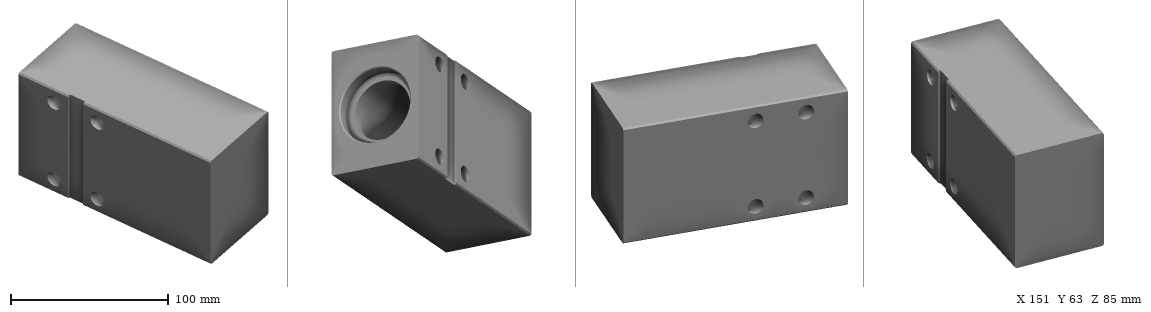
import cadquery as cq

length = 151.0
depth = 63.0
height = 85.0
edge_chamfer = 1.0

bore_diameter = 40.0
end_wall = 19.6
counterbore_diameter = 50.5
counterbore_depth = 10.1
mouth_diameter = 52.0
mouth_chamfer = (mouth_diameter - counterbore_diameter) / 2

keyway_center = 45.0
keyway_width = 12.0
keyway_depth = 2.0

hole_diameter = 10.5
hole_spacing_x = 34.0
hole_spacing_z = 63.0


def make_block():
    block = cq.Workplane("XY").box(length, depth, height, centered=(False, True, True))
    return block.edges("|X").chamfer(edge_chamfer)


def make_bore():
    """Revolve the stepped bore profile, drawn as (X, radius), about the X axis."""
    bore_radius = bore_diameter / 2
    counterbore_radius = counterbore_diameter / 2
    bore_end = length - end_wall
    profile = [
        (0, 0),
        (0, mouth_diameter / 2),
        (mouth_chamfer, counterbore_radius),
        (counterbore_depth, counterbore_radius),
        (counterbore_depth, bore_radius),
        (bore_end, bore_radius),
        (bore_end, 0),
    ]
    return cq.Workplane("XY").polyline(profile).close().revolve(360, (0, 0), (1, 0))


def make_keyway():
    cutter = cq.Workplane("XY").box(keyway_width, 2 * keyway_depth, height)
    return cutter.translate((keyway_center, -depth / 2, 0))


def make_mounting_holes():
    return (
        cq.Workplane("XZ", origin=(keyway_center, depth / 2, 0))
        .rarray(hole_spacing_x, hole_spacing_z, 2, 2)
        .circle(hole_diameter / 2)
        .extrude(depth)
    )


result = make_block().cut(make_bore()).cut(make_keyway()).cut(make_mounting_holes())